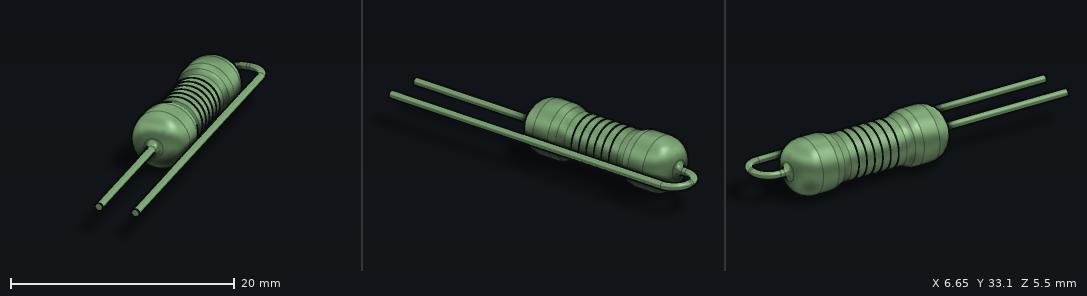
import cadquery as cq
import math

overall_length = 33.1
bend_crest_y = 11.3
lead_end_y = bend_crest_y - overall_length

cap_radius = 5.5 / 2
waist_radius = 4.67 / 2
band_radius = 4.7 / 2
lead_radius = 0.8 / 2

band_width = 0.85
waist_segments = 7
shoulder_length = 1.6
cap_straight_length = 1.7
dome_radius = 2.0
neck_fillet = 0.55

lead_pitch = 3.5
bend_radius = 1.62

waist_half = waist_segments * band_width / 2
shoulder_end = waist_half + shoulder_length
dome_start = shoulder_end + cap_straight_length

half_shoulder = shoulder_length / 2
half_step = (cap_radius - waist_radius) / 2
shoulder_arc_radius = (half_shoulder**2 + half_step**2) / (2 * half_step)
shoulder_middle = (waist_radius + half_step, waist_half + half_shoulder)

dome_centre_radius = cap_radius - dome_radius
neck_offset = lead_radius + neck_fillet - dome_centre_radius
arc_centre_distance = dome_radius + neck_fillet
neck_end = dome_start + math.sqrt(arc_centre_distance**2 - neck_offset**2)
dome_share = dome_radius / arc_centre_distance
neck_start = (
    dome_centre_radius + neck_offset * dome_share,
    dome_start + (neck_end - dome_start) * dome_share,
)


def half_body():
    """Half of the body on the +Y side, from its middle to the end of the neck."""
    profile = (
        cq.Workplane("XY")
        .lineTo(waist_radius, 0)
        .lineTo(waist_radius, waist_half)
        .radiusArc(shoulder_middle, shoulder_arc_radius)
        .radiusArc((cap_radius, shoulder_end), -shoulder_arc_radius)
        .lineTo(cap_radius, dome_start)
        .radiusArc(neck_start, -dome_radius)
        .radiusArc((lead_radius, neck_end), neck_fillet)
        .lineTo(0, neck_end)
        .close()
    )
    return profile.revolve(360, (0, 0, 0), (0, 1, 0))


def colour_band(centre_y):
    """Slightly raised ring around the waist."""
    start = cq.Workplane("XZ", origin=(0, centre_y - band_width / 2, 0))
    return start.circle(band_radius).extrude(-band_width)


def straight_lead():
    """Lead running from the -Y end of the body along the axis."""
    lead_length = -neck_end - lead_end_y
    start = cq.Workplane("XZ", origin=(0, -neck_end, 0))
    return start.circle(lead_radius).extrude(lead_length)


def folded_lead():
    """Lead leaving the +Y end, turning twice and running back parallel to the body."""
    bend_start = bend_crest_y - lead_radius - bend_radius
    crest_y = bend_start + bend_radius
    path = (
        cq.Workplane("XY")
        .moveTo(0, neck_end)
        .lineTo(0, bend_start)
        .radiusArc((bend_radius, crest_y), bend_radius)
        .lineTo(lead_pitch - bend_radius, crest_y)
        .radiusArc((lead_pitch, bend_start), bend_radius)
        .lineTo(lead_pitch, lead_end_y)
    )
    section = cq.Workplane("XZ", origin=(0, neck_end, 0)).circle(lead_radius)
    return section.sweep(path)


upper_half = half_body()
result = upper_half.union(upper_half.mirror("XZ"))
first_segment_y = -waist_half + band_width / 2
for segment in range(1, waist_segments, 2):
    result = result.union(colour_band(first_segment_y + segment * band_width))
result = result.union(straight_lead()).union(folded_lead())